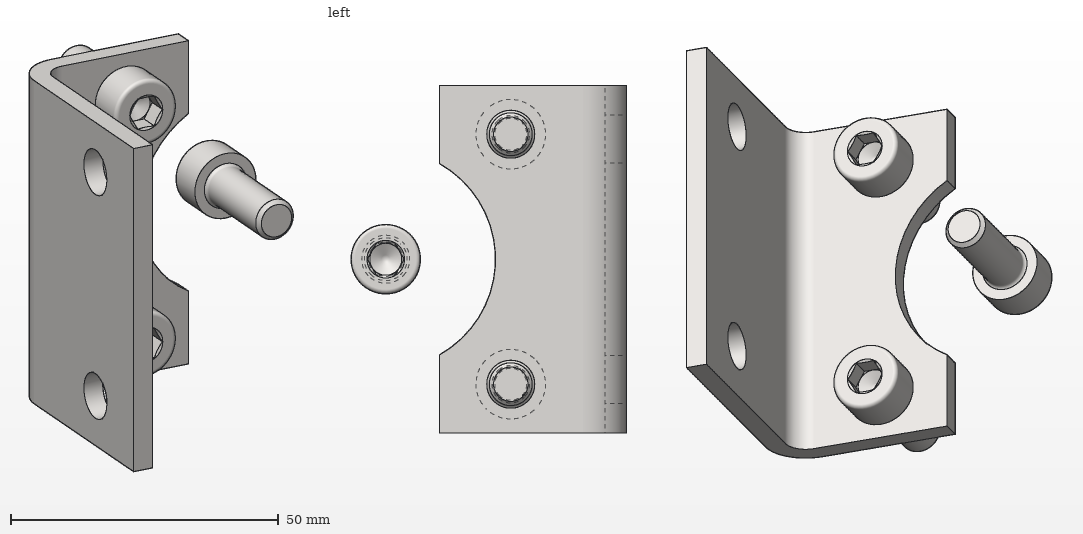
import cadquery as cq
import math

height = 65.0
front_leg_length = 47.0
side_leg_length = 35.0
thickness = 4.0
outer_bend_radius = 2 * thickness
inner_bend_radius = outer_bend_radius - thickness

hole_diameter = 9.0
mounting_hole_x = 32.0
mounting_hole_z = 22.5

axis_y = 45.0
cutout_radius = 20.5

bolt_circle_radius = 33.0
bolt_offset = bolt_circle_radius / math.sqrt(2)
fitted_screw_y = axis_y - bolt_offset

head_diameter = 13.0
head_height = 8.0
head_edge_radius = 0.8
shank_diameter = 8.0
shank_length = 20.0
tip_chamfer = 0.8
neck_radius = hole_diameter / 2
neck_length = 0.85
socket_width = 6.0
socket_depth = 4.0
socket_sides = 6
socket_corner_diameter = socket_width / math.cos(math.pi / socket_sides)
socket_mouth_diameter = 7.0
socket_point_angle = 120.0
mouth_cone_angle = 120.0


def cone_depth(diameter, point_angle):
    """Height of a cone with the given base diameter and full point angle."""
    return diameter / 2 / math.tan(math.radians(point_angle / 2))


def make_cone(x, diameter, point_angle):
    """Cone on the X axis, base at x and pointing toward +X."""
    depth = cone_depth(diameter, point_angle)
    return cq.Workplane(cq.Solid.makeCone(diameter / 2, 0, depth, cq.Vector(x, 0, 0), cq.Vector(1, 0, 0)))


def make_bracket():
    """Bent plate with two mounting holes, two screw holes and an arc cutout."""
    bracket = (
        cq.Workplane("XY", origin=(0, 0, -height / 2))
        .moveTo(0, side_leg_length)
        .lineTo(0, outer_bend_radius)
        .radiusArc((outer_bend_radius, 0), -outer_bend_radius)
        .lineTo(front_leg_length, 0)
        .lineTo(front_leg_length, thickness)
        .lineTo(outer_bend_radius, thickness)
        .radiusArc((thickness, outer_bend_radius), inner_bend_radius)
        .lineTo(thickness, side_leg_length)
        .close()
        .extrude(height)
    )
    mounting_holes = (
        cq.Workplane("XZ")
        .pushPoints([(mounting_hole_x, mounting_hole_z), (mounting_hole_x, -mounting_hole_z)])
        .circle(hole_diameter / 2)
        .extrude(-thickness)
    )
    screw_holes = (
        cq.Workplane("YZ")
        .pushPoints([(fitted_screw_y, bolt_offset), (fitted_screw_y, -bolt_offset)])
        .circle(hole_diameter / 2)
        .extrude(thickness)
    )
    arc_cutout = cq.Workplane("YZ").center(axis_y, 0).circle(cutout_radius).extrude(thickness)
    return bracket.cut(mounting_holes).cut(screw_holes).cut(arc_cutout)


def make_socket():
    """Hexagonal recess with a conical bottom and a countersunk mouth."""
    hexagon = (
        cq.Workplane("YZ", origin=(-head_height, 0, 0))
        .polygon(socket_sides, socket_corner_diameter)
        .extrude(socket_depth)
    )
    bottom = make_cone(socket_depth - head_height, socket_width, socket_point_angle)
    mouth = make_cone(-head_height, socket_mouth_diameter, mouth_cone_angle)
    return hexagon.union(bottom).union(mouth)


def make_screw():
    """Screw along X, underside of the head at X = 0 and shank toward +X."""
    shank_radius = shank_diameter / 2
    head = (
        cq.Workplane("YZ")
        .circle(head_diameter / 2)
        .extrude(-head_height)
        .faces("<X")
        .edges()
        .fillet(head_edge_radius)
    )
    shank = (
        cq.Workplane("XY")
        .lineTo(shank_length, 0)
        .lineTo(shank_length, shank_radius - tip_chamfer)
        .lineTo(shank_length - tip_chamfer, shank_radius)
        .lineTo(neck_length, shank_radius)
        .tangentArcPoint((0, neck_radius), relative=False)
        .close()
        .revolve(360, (0, 0, 0), (1, 0, 0))
    )
    return head.union(shank).cut(make_socket())


def make_fitted_screw(z):
    """Screw through the side leg, head against the inner face, shank toward -X."""
    reversed_screw = make_screw().rotate((0, 0, 0), (0, 0, 1), 180)
    return reversed_screw.translate((thickness, fitted_screw_y, z))


bracket = make_bracket()
loose_screw = make_screw().translate((0, axis_y, 0))
fitted_screws = [make_fitted_screw(side * bolt_offset) for side in (-1, 1)]

result = cq.Compound.makeCompound(
    [bracket.val(), loose_screw.val(), *[screw.val() for screw in fitted_screws]]
)